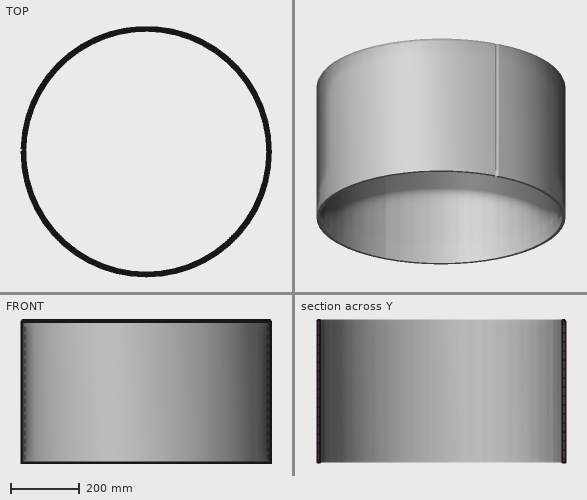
import cadquery as cq
import math

outer_diameter = 730.0
height = 419.0
wall = 10.0
bevel_height = 7.0
bevel_angle = 30.0
root_gap = 1.0
seam_offset = 5.0

outer_radius = outer_diameter / 2
inner_radius = outer_radius - wall
bevel_slope = math.tan(math.radians(bevel_angle))


def beveled_ring():
    """Thin ring with a weld bevel around its upper outer edge."""
    profile = [
        (inner_radius, 0),
        (outer_radius, 0),
        (outer_radius, height - bevel_height),
        (outer_radius - bevel_height * bevel_slope, height),
        (inner_radius, height),
    ]
    return cq.Workplane("XZ").polyline(profile).close().revolve(360, (0, 0), (0, 1))


def seam_cutter():
    """Full-height V-shaped seam through the wall on the -X side."""
    far_x = -(outer_radius + wall)
    clear_x = -(inner_radius - wall)
    root_half_gap = root_gap / 2
    far_half_width = root_half_gap + 2 * wall * bevel_slope
    outline = [
        (far_x, -far_half_width),
        (-inner_radius, -root_half_gap),
        (clear_x, -root_half_gap),
        (clear_x, root_half_gap),
        (-inner_radius, root_half_gap),
        (far_x, far_half_width),
    ]
    cutter = cq.Workplane("XY").polyline(outline).close().extrude(height)
    return cutter.translate((0, seam_offset, 0))


result = beveled_ring().cut(seam_cutter())